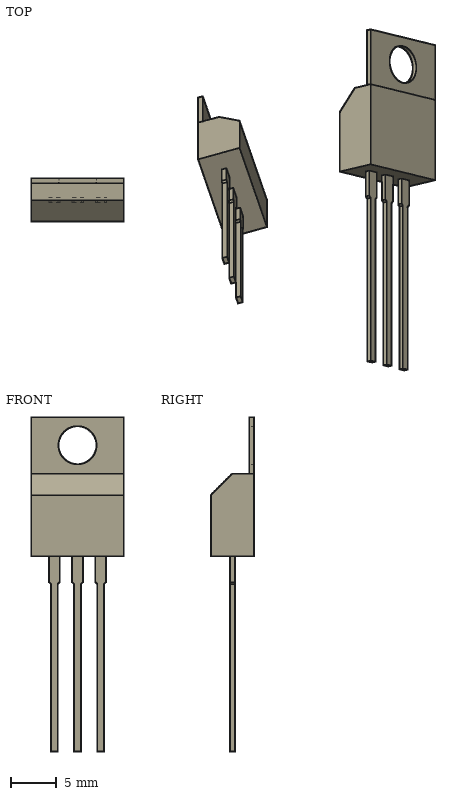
import cadquery as cq

total_height = 36.72
width = 10.17
depth = 4.77

tab_height = 6.2
tab_thickness = 0.55
hole_diameter = 4.15
hole_from_top = 3.1

housing_height = 9.07
chamfer = 2.35
housing_top = total_height - tab_height
housing_bottom = housing_top - housing_height

lead_count = 3
lead_pitch = 2.55
lead_thickness = 0.55
shoulder_width = 1.2
shoulder_length = 3.05
leg_width = 0.77
taper_height = (shoulder_width - leg_width) / 2
leg_length = housing_bottom - shoulder_length


def make_tab():
    """Flat plate standing on the back of the housing, with a screw hole."""
    plate = cq.Workplane("XY").box(
        width, tab_thickness, tab_height, centered=(True, False, False)
    )
    hole = (
        cq.Workplane("XZ")
        .center(0, tab_height - hole_from_top)
        .circle(hole_diameter / 2)
        .extrude(tab_thickness)
        .translate((0, tab_thickness, 0))
    )
    return plate.cut(hole).translate((0, -tab_thickness, housing_top))


def make_housing():
    """Block with its upper front edge chamfered."""
    return (
        cq.Workplane("XY")
        .box(width, depth, housing_height, centered=(True, False, False))
        .faces("<Y")
        .edges(">Z")
        .chamfer(chamfer)
        .translate((0, -depth, housing_bottom))
    )


def make_lead(x):
    """Flat lead at the given X: a wide shoulder tapering down to a narrow leg."""
    half_leg = leg_width / 2
    half_shoulder = shoulder_width / 2
    outline = [
        (-half_leg, 0),
        (half_leg, 0),
        (half_leg, leg_length),
        (half_shoulder, leg_length + taper_height),
        (half_shoulder, housing_bottom),
        (-half_shoulder, housing_bottom),
        (-half_shoulder, leg_length + taper_height),
        (-half_leg, leg_length),
    ]
    return (
        cq.Workplane("XZ")
        .polyline(outline)
        .close()
        .extrude(lead_thickness / 2, both=True)
        .translate((x, -depth / 2, 0))
    )


tab = make_tab()
housing = make_housing()
first_lead_x = -lead_pitch * (lead_count - 1) / 2
leads = [make_lead(first_lead_x + i * lead_pitch) for i in range(lead_count)]

result = cq.Compound.makeCompound(
    [tab.val(), housing.val(), *[lead.val() for lead in leads]]
)